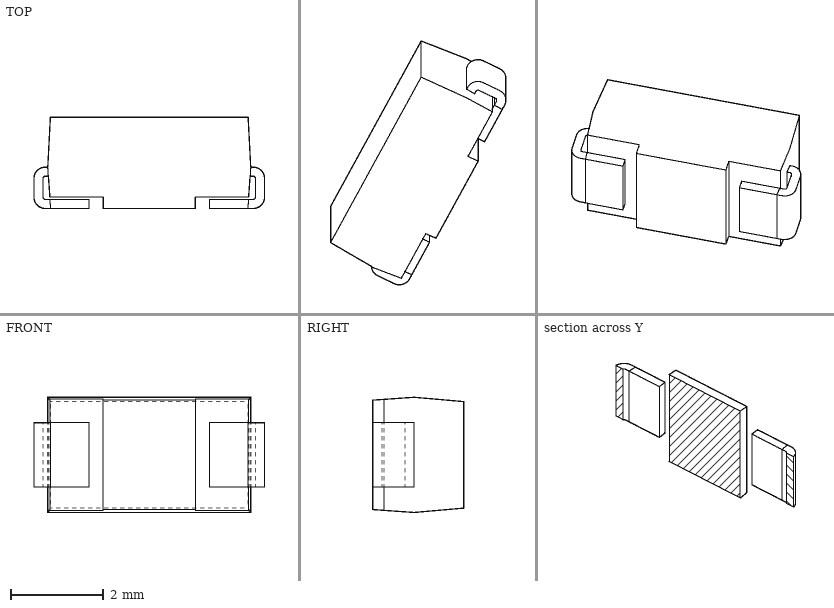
import cadquery as cq
import math


ridge_length = 4.4
ridge_width = 2.5
ridge_height = 0.9
housing_height = 1.98
lower_draft = 4.0
upper_end_draft = 3.0
upper_side_draft = 5.0
pedestal_length = 2.0
pedestal_height = 0.25

lead_span = 5.0
lead_width = 1.4
lead_thickness = 0.2
lead_inner_radius = 0.05
lead_outer_radius = lead_inner_radius + lead_thickness
foot_tip_x = 1.3


def inset(height, draft):
    """Distance a drafted face moves inward over the given height."""
    return height * math.tan(math.radians(draft))


def section(plane_y, length, width):
    """Rectangle of the housing at one height, as a closed wire."""
    return cq.Wire.makePolygon(
        [
            cq.Vector(-length / 2, plane_y, -width / 2),
            cq.Vector(length / 2, plane_y, -width / 2),
            cq.Vector(length / 2, plane_y, width / 2),
            cq.Vector(-length / 2, plane_y, width / 2),
        ],
        close=True,
    )


lower_inset = inset(ridge_height, lower_draft)
upper_rise = housing_height - ridge_height
base_length = ridge_length - 2 * lower_inset
base_width = ridge_width - 2 * lower_inset
top_length = ridge_length - 2 * inset(upper_rise, upper_end_draft)
top_width = ridge_width - 2 * inset(upper_rise, upper_side_draft)

base_section = section(0, base_length, base_width)
ridge_section = section(ridge_height, ridge_length, ridge_width)
top_section = section(housing_height, top_length, top_width)

lower_half = cq.Solid.makeLoft([base_section, ridge_section], True)
upper_half = cq.Solid.makeLoft([ridge_section, top_section], True)


def make_housing():
    """Moulded housing with a recess at each end of its underside for the lead feet."""
    recess_length = (ridge_length - pedestal_length) / 2
    recess_center = (ridge_length + pedestal_length) / 4
    recesses = (
        cq.Workplane("XY")
        .pushPoints([(-recess_center, pedestal_height / 2), (recess_center, pedestal_height / 2)])
        .box(recess_length, pedestal_height, ridge_width)
    )
    return cq.Workplane(lower_half).union(cq.Workplane(upper_half)).cut(recesses)


def bend_block(half_length, bottom, top, radius):
    """Bar along X with its edges rounded at both ends, as wide as a lead."""
    return (
        cq.Workplane("XY")
        .center(0, (bottom + top) / 2)
        .rect(2 * half_length, top - bottom)
        .extrude(lead_width / 2, both=True)
        .edges("|Z")
        .fillet(radius)
    )


def make_lead_bends():
    """C-shaped lead bends, both ends of each lying on the drafted end plane of the housing."""
    outside = bend_block(lead_span / 2, 0, ridge_height, lead_outer_radius)
    inside = bend_block(
        lead_span / 2 - lead_thickness,
        lead_thickness,
        ridge_height - lead_thickness,
        lead_inner_radius,
    )
    return outside.cut(inside).cut(cq.Workplane(lower_half))


def make_foot(side):
    """Flat foot from the bend to its tip; side is -1 or 1 along X."""
    joint_low = base_length / 2
    joint_high = joint_low + inset(lead_thickness, lower_draft)
    return (
        cq.Workplane("XY")
        .moveTo(side * foot_tip_x, 0)
        .lineTo(side * joint_low, 0)
        .lineTo(side * joint_high, lead_thickness)
        .lineTo(side * foot_tip_x, lead_thickness)
        .close()
        .extrude(lead_width / 2, both=True)
    )


housing = make_housing()
lead_bends = make_lead_bends()
feet = [make_foot(side) for side in (-1, 1)]

result = cq.Compound.makeCompound(
    [housing.val(), *lead_bends.solids().vals(), *[foot.val() for foot in feet]]
)